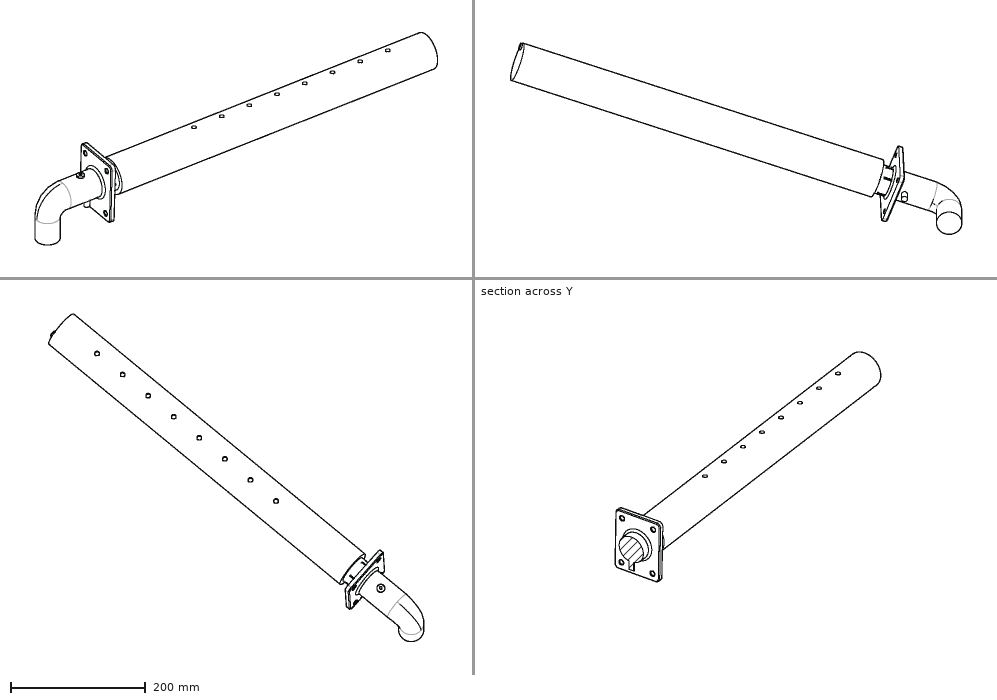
import cadquery as cq
import math


TUBE_DIAMETER = 58.5
TUBE_LENGTH = 570.0
HOLE_DIAMETER = 7.0
HOLE_DEPTH = 5.0
HOLE_COUNT = 8
HOLE_PITCH = 50.0
HOLE_END_MARGIN = 70.0
END_BOSS_DIAMETER = 10.0
END_BOSS_HEIGHT = 2.5
END_BOSS_OFFSET = 17.0

NECK_DIAMETER = 44.5
NECK_LENGTH = 87.0
SLOT_WIDTH = 2.0
SLOT_DEPTH = 4.0
SLOT_LENGTH = 18.0
SLOT_ANGLES = (-52.0, 0.0, 52.0)

PLATE_WIDTH = 80.49
PLATE_HEIGHT = 101.5
PLATE_THICKNESS = 7.5
PLATE_CORNER_RADIUS = 7.0
PLATE_EDGE_CHAMFER = 1.5
PLATE_DISTANCE = 24.3
PLATE_TILT = 1.5
PLATE_DROP = 2.0
PLATE_HOLE_DIAMETER = 7.0
PLATE_COUNTERSINK_DIAMETER = 9.0
COUNTERSINK_ANGLE = 90.0
PLATE_HOLE_PITCH_X = 56.0
PLATE_HOLE_PITCH_Z = 76.0
WELD_LEG = 4.0
WELD_LENGTH = 3.0
WELD_OVERLAP = 1.0

STUB_DIAMETER = 9.0
STUB_DISTANCE = 43.5
STUB_REACH = 36.5
PLUG_DISTANCE = 55.0
PLUG_DIAMETER = 12.0
PLUG_REACH = 24.5
PLUG_TIP_DIAMETER = 4.0
PLUG_TIP_REACH = 26.0

OUTLET_DIAMETER = 38.0
BEND_ANGLE = 90.0
BEND_SECTIONS = 4
OVERALL_LENGTH = 705.87
BEND_RADIUS = OVERALL_LENGTH - TUBE_LENGTH - END_BOSS_HEIGHT - NECK_LENGTH - OUTLET_DIAMETER / 2
OVERALL_HEIGHT = 115.22


def rod_along_y(diameter, y_front, length, x=0.0, z=0.0):
    return cq.Workplane("XZ", origin=(x, y_front + length, z)).circle(diameter / 2).extrude(length)


def make_tube():
    """Solid tube with a row of blind holes on top and a small boss on its far end."""
    tube = rod_along_y(TUBE_DIAMETER, 0, TUBE_LENGTH)
    boss = rod_along_y(
        END_BOSS_DIAMETER, TUBE_LENGTH, END_BOSS_HEIGHT, -END_BOSS_OFFSET, END_BOSS_OFFSET
    )
    hole_bottom = TUBE_DIAMETER / 2 - HOLE_DEPTH
    first_hole = TUBE_LENGTH - HOLE_END_MARGIN
    hole_places = [(0, first_hole - i * HOLE_PITCH) for i in range(HOLE_COUNT)]
    holes = (
        cq.Workplane("XY", origin=(0, 0, hole_bottom))
        .pushPoints(hole_places)
        .circle(HOLE_DIAMETER / 2)
        .extrude(TUBE_DIAMETER)
    )
    return tube.cut(holes).union(boss)


def make_neck():
    """Neck with three narrow slots on each side, between the tube and the plate."""
    neck = rod_along_y(NECK_DIAMETER, -NECK_LENGTH, NECK_LENGTH)
    neck_radius = NECK_DIAMETER / 2
    slot_middle = -PLATE_DISTANCE + SLOT_LENGTH / 2
    for side in (0.0, 180.0):
        for angle in SLOT_ANGLES:
            slot = (
                cq.Workplane("XY")
                .box(2 * SLOT_DEPTH, SLOT_LENGTH, SLOT_WIDTH)
                .translate((neck_radius, slot_middle, 0))
                .rotate((0, 0, 0), (0, 1, 0), side + angle)
            )
            neck = neck.cut(slot)
    return neck


def make_plate():
    """Tilted plate with rounded corners, a chamfered front rim and four countersunk holes."""
    plate = (
        cq.Workplane("XZ", origin=(0, PLATE_THICKNESS / 2, 0))
        .rect(PLATE_WIDTH, PLATE_HEIGHT)
        .extrude(PLATE_THICKNESS)
        .edges("|Y")
        .fillet(PLATE_CORNER_RADIUS)
        .faces("<Y")
        .chamfer(PLATE_EDGE_CHAMFER)
    )
    plate = (
        plate.faces("<Y")
        .workplane(origin=(0, 0, 0))
        .rect(PLATE_HOLE_PITCH_X, PLATE_HOLE_PITCH_Z, forConstruction=True)
        .vertices()
        .cskHole(PLATE_HOLE_DIAMETER, PLATE_COUNTERSINK_DIAMETER, COUNTERSINK_ANGLE)
    )
    return place_on_plate(plate.translate((0, 0, -PLATE_DROP)))


def place_on_plate(body):
    """Tilt a body so its top leans towards the tube, then move it to the plate position."""
    return body.rotate((0, 0, 0), (1, 0, 0), -PLATE_TILT).translate((0, -PLATE_DISTANCE, 0))


def make_welds():
    """Conical weld beads around the neck on both faces of the plate, square to the tilted plate."""
    inner = NECK_DIAMETER / 2 - WELD_OVERLAP
    neck_surface = NECK_DIAMETER / 2
    plate_face = PLATE_THICKNESS / 2
    profile = [
        (inner, -plate_face - WELD_LENGTH),
        (neck_surface, -plate_face - WELD_LENGTH),
        (neck_surface + WELD_LEG, -plate_face),
        (neck_surface + WELD_LEG, plate_face),
        (neck_surface, plate_face + WELD_LENGTH),
        (inner, plate_face + WELD_LENGTH),
    ]
    weld = cq.Workplane("XY").polyline(profile).close().revolve(360, (0, 0, 0), (0, 1, 0))
    return place_on_plate(weld)


def make_fittings():
    """Drain stub pointing down and tipped plug pointing up."""
    stub = (
        cq.Workplane("XY", origin=(0, -STUB_DISTANCE, -STUB_REACH))
        .circle(STUB_DIAMETER / 2)
        .extrude(STUB_REACH)
    )
    plug_base = cq.Workplane("XY", origin=(0, -PLUG_DISTANCE, 0))
    plug = plug_base.circle(PLUG_DIAMETER / 2).extrude(PLUG_REACH)
    tip = plug_base.circle(PLUG_TIP_DIAMETER / 2).extrude(PLUG_TIP_REACH)
    return stub.union(plug).union(tip)


def make_elbow():
    """Loft through circles spread along the bend, shrinking evenly to the outlet."""
    sections = []
    for i in range(BEND_SECTIONS + 1):
        share = i / BEND_SECTIONS
        angle = math.radians(BEND_ANGLE * share)
        centre = cq.Vector(
            0,
            -NECK_LENGTH - BEND_RADIUS * math.sin(angle),
            -BEND_RADIUS * (1 - math.cos(angle)),
        )
        direction = cq.Vector(0, -math.cos(angle), -math.sin(angle))
        radius = (NECK_DIAMETER + share * (OUTLET_DIAMETER - NECK_DIAMETER)) / 2
        sections.append(cq.Wire.makeCircle(radius, centre, direction))
    return cq.Workplane(cq.Solid.makeLoft(sections))


def make_outlet(top_of_plate):
    """Straight pipe down from the elbow to the overall height below the plate's top."""
    bottom = top_of_plate - OVERALL_HEIGHT
    return (
        cq.Workplane("XY", origin=(0, -NECK_LENGTH - BEND_RADIUS, bottom))
        .circle(OUTLET_DIAMETER / 2)
        .extrude(-BEND_RADIUS - bottom)
    )


plate = make_plate()
result = make_tube().union(make_neck()).union(plate).union(make_welds()).union(make_fittings())
result = result.union(make_elbow()).union(make_outlet(plate.val().BoundingBox().zmax))